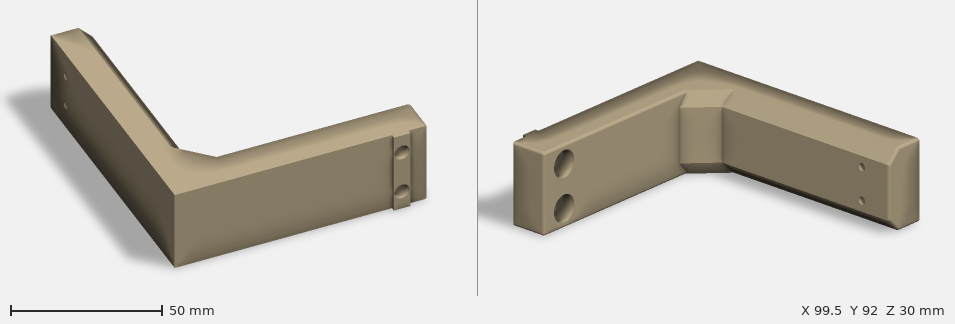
import cadquery as cq

height = 30.0
long_arm_length = 98.0
long_arm_thickness = 15.0
short_arm_length = 92.0
short_arm_thickness = 14.0
edge_radius = 1.0

inner_chamfer = 5.0

gusset_leg = 10.0
gusset_chamfer_inward = 3.0
gusset_overlap = 6.0

key_width = 6.0
key_height = 1.5
key_overlap = 1.0

bolt_diameter = 5.5
counterbore_diameter = 10.0
counterbore_depth = 5.0
bolt_from_end = 10.0
bolt_spacing = 16.0

pin_diameter = 2.8
pin_from_end = 12.0
pin_spacing = 12.0

half_height = height / 2
short_arm_inner_x = long_arm_length - short_arm_thickness
bolt_y = short_arm_length - bolt_from_end


def make_block(x_start, length_x, length_y):
    """Full-height block with one side on Y = 0, centred on Z = 0."""
    block = cq.Workplane("XY").box(length_x, length_y, height, centered=(False, False, True))
    return block.translate((x_start, 0, 0))


def make_long_arm():
    """Arm along X with chamfered inner edges and a rounded free end."""
    arm = make_block(0, long_arm_length, long_arm_thickness)
    arm = arm.faces(">Y").edges("|X").chamfer(inner_chamfer)
    return arm.faces("<X").edges("not <Y").fillet(edge_radius)


def make_short_arm():
    """Arm along Y with its inner long edges and free end rounded."""
    arm = make_block(short_arm_inner_x, short_arm_thickness, short_arm_length)
    return arm.edges("(|Y and <X) or >Y").fillet(edge_radius)


def make_gusset():
    """Triangular corner block with a chamfered diagonal face, sunk into both arms."""
    start_x = short_arm_inner_x - gusset_leg - gusset_overlap
    start_y = long_arm_thickness - gusset_overlap
    end_x = short_arm_inner_x + gusset_overlap
    end_y = long_arm_thickness + gusset_leg + gusset_overlap
    outline = [(start_x, start_y), (end_x, end_y), (end_x, start_y)]
    gusset = cq.Workplane("XY").polyline(outline).close().extrude(half_height, both=True)
    diagonal_face = gusset.faces(cq.selectors.DirectionMinMaxSelector(cq.Vector(-1, 1, 0)))
    return diagonal_face.edges("#Z").chamfer(inner_chamfer, gusset_chamfer_inward)


def make_key():
    """Full-height locating key, centred on the bolt holes."""
    key = make_block(long_arm_length - key_overlap, key_height + key_overlap, key_width)
    return key.translate((0, bolt_y - key_width / 2, 0))


def cut_bolt_holes(body):
    """Counterbored holes along X, entered from the inner face of the short arm."""
    for z in (-bolt_spacing / 2, bolt_spacing / 2):
        entry = cq.Workplane("YZ", origin=(short_arm_inner_x, bolt_y, z))
        bore = entry.circle(bolt_diameter / 2).extrude(short_arm_thickness + key_height)
        counterbore = entry.circle(counterbore_diameter / 2).extrude(counterbore_depth)
        body = body.cut(bore).cut(counterbore)
    return body


def cut_pin_holes(body):
    """Plain holes along Y, through the free end of the long arm."""
    for z in (-pin_spacing / 2, pin_spacing / 2):
        entry = cq.Workplane("XZ", origin=(pin_from_end, 0, z))
        body = body.cut(entry.circle(pin_diameter / 2).extrude(-long_arm_thickness))
    return body


result = make_long_arm().union(make_short_arm()).union(make_gusset()).union(make_key())
result = cut_bolt_holes(result)
result = cut_pin_holes(result)